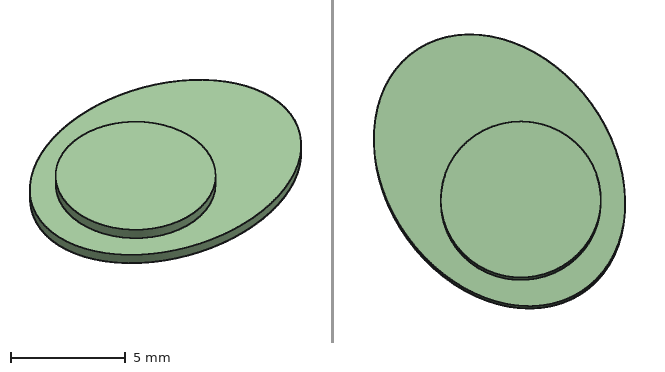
import cadquery as cq

plate_length = 13.0
plate_width = 10.0
total_height = 1.0
plate_thickness = total_height / 2

boss_diameter = 7.0
boss_offset = 1.7
boss_height = total_height - plate_thickness

plate = cq.Workplane("XY").ellipse(plate_width / 2, plate_length / 2).extrude(plate_thickness)

boss = (
    cq.Workplane("XY")
    .workplane(offset=plate_thickness)
    .center(0, -boss_offset)
    .circle(boss_diameter / 2)
    .extrude(boss_height)
)

result = plate.union(boss)